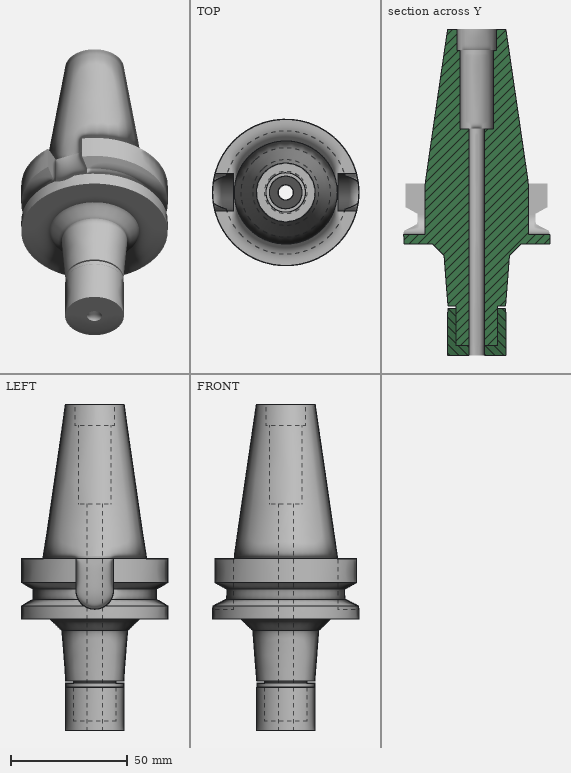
import cadquery as cq
import math

total_height = 140.4
taper_base_z = 75.0
flange_top_z = 74.0
flange_bottom_z = 48.0
shank_top_z = 43.1
shank_bottom_z = 21.3
nut_top_z = 20.5

taper_ratio = 7 / 24
taper_base_radius = 22.2
taper_top_radius = taper_base_radius - (total_height - taper_base_z) * taper_ratio / 2

flange_diameter = 63.0
flange_radius = flange_diameter / 2
groove_radius = 26.5
groove_wall_angle = 30
groove_centre_z = 58.7
groove_width = 10.1
groove_wall_height = (flange_radius - groove_radius) * math.tan(math.radians(groove_wall_angle))
groove_top_z = groove_centre_z + groove_width / 2
groove_bottom_z = groove_centre_z - groove_width / 2

slot_width = 16.1
slot_depth = 21.8
slot_floor_distance = 22.5

collar_radius = 19.2
shank_top_radius = 14.2
shank_bottom_radius = 12.5

neck_radius = 9.1
neck_bottom_z = 4.2

mouth_diameter = 17.0
mouth_radius = mouth_diameter / 2
mouth_depth = 9.1
thread_radius = 7.0
thread_depth = 33.7
through_radius = 3.2

nut_radius = 12.6
nut_band_radius = 12.5
nut_band_bottom_z = 18.8
nut_bevel_height = 0.3


def revolve_outline(outline):
    """Revolve a closed radius-height outline about Z."""
    return cq.Workplane("XZ").polyline(outline).close().revolve(360, (0, 0, 0), (0, 1, 0))


def bore(radius, top_z, depth):
    return cq.Workplane("XY").workplane(offset=top_z - depth).circle(radius).extrude(depth)


def make_drive_slot(side):
    """Round-bottomed slot cutter on the +X (side = 1) or -X (side = -1) side."""
    half_width = slot_width / 2
    slot_bottom_z = flange_top_z - slot_depth
    arc_centre_z = slot_bottom_z + half_width
    return (
        cq.Workplane("YZ", origin=(side * slot_floor_distance, 0, 0))
        .moveTo(-half_width, flange_top_z)
        .lineTo(-half_width, arc_centre_z)
        .threePointArc((0, slot_bottom_z), (half_width, arc_centre_z))
        .lineTo(half_width, flange_top_z)
        .close()
        .extrude(side * flange_radius)
    )


def make_holder():
    holder = revolve_outline([
        (0, total_height),
        (taper_top_radius, total_height),
        (taper_base_radius, taper_base_z),
        (taper_base_radius, flange_top_z),
        (flange_radius, flange_top_z),
        (flange_radius, groove_top_z),
        (groove_radius, groove_top_z - groove_wall_height),
        (groove_radius, groove_bottom_z + groove_wall_height),
        (flange_radius, groove_bottom_z),
        (flange_radius, flange_bottom_z),
        (collar_radius, flange_bottom_z),
        (shank_top_radius, shank_top_z),
        (shank_bottom_radius, shank_bottom_z),
        (neck_radius, shank_bottom_z),
        (neck_radius, neck_bottom_z),
        (0, neck_bottom_z),
    ])
    for side in (-1, 1):
        holder = holder.cut(make_drive_slot(side))
    holder = holder.cut(bore(mouth_radius, total_height, mouth_depth))
    holder = holder.cut(bore(thread_radius, total_height - mouth_depth, thread_depth))
    return holder.cut(bore(through_radius, total_height, total_height))


def make_nut():
    return revolve_outline([
        (through_radius, 0),
        (nut_radius, 0),
        (nut_radius, nut_band_bottom_z - nut_bevel_height),
        (nut_band_radius, nut_band_bottom_z),
        (nut_band_radius, nut_top_z),
        (neck_radius, nut_top_z),
        (neck_radius, neck_bottom_z),
        (through_radius, neck_bottom_z),
    ])


holder = make_holder()
nut = make_nut()

result = cq.Compound.makeCompound([holder.val(), nut.val()])